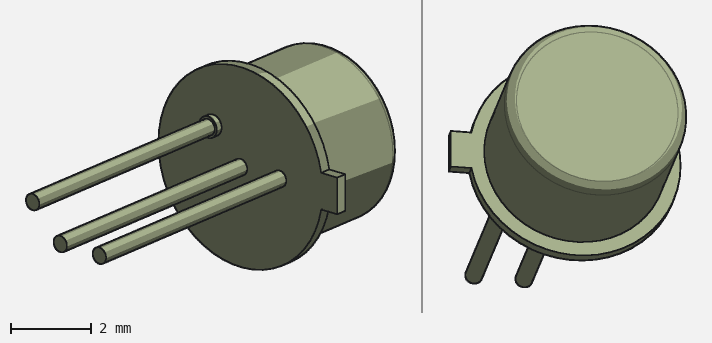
import cadquery as cq
import math

total_length = 10.38

flange_diameter = 5.32
flange_thickness = 0.31
cap_diameter = 4.6
cap_edge_radius = 0.26

tab_reach = 3.13
tab_width = 0.98

lead_diameter = 0.44
lead_length = 6.98
lead_circle_radius = 1.27
collared_lead_angle = 135.0
collar_diameter = 0.57
collar_length = 0.19

cap_height = total_length - lead_length - flange_thickness


def cylinder_along_y(diameter, start_y, length, x=0.0, z=0.0):
    """Cylinder on an axis parallel to Y, going from start_y toward +Y."""
    base = cq.Workplane("XZ", origin=(x, start_y, z))
    return base.circle(diameter / 2).extrude(-length)


def make_lead(x, z):
    """Plain round lead that ends on the flange face."""
    return cylinder_along_y(lead_diameter, -lead_length, lead_length, x, z)


def make_tab():
    """Flat tab from the flange centre out past its rim."""
    return cq.Workplane("XY").box(
        tab_reach, flange_thickness, tab_width, centered=(False, False, True)
    )


def make_can():
    """Flange, tab and cap, with the central and side leads attached."""
    flange = cylinder_along_y(flange_diameter, 0, flange_thickness)
    cap = cylinder_along_y(cap_diameter, flange_thickness, cap_height)
    cap = cap.faces(">Y").edges().fillet(cap_edge_radius)
    can = flange.union(make_tab()).union(cap)
    for lead_x in (0.0, lead_circle_radius):
        can = can.union(make_lead(lead_x, 0.0))
    return can


def make_collared_lead():
    """Separate lead whose collar rests against the flange face."""
    angle = math.radians(collared_lead_angle)
    x = lead_circle_radius * math.cos(angle)
    z = lead_circle_radius * math.sin(angle)
    collar = cylinder_along_y(collar_diameter, -collar_length, collar_length, x, z)
    return make_lead(x, z).union(collar)


can = make_can()
collared_lead = make_collared_lead()

result = cq.Compound.makeCompound([can.val(), collared_lead.val()])